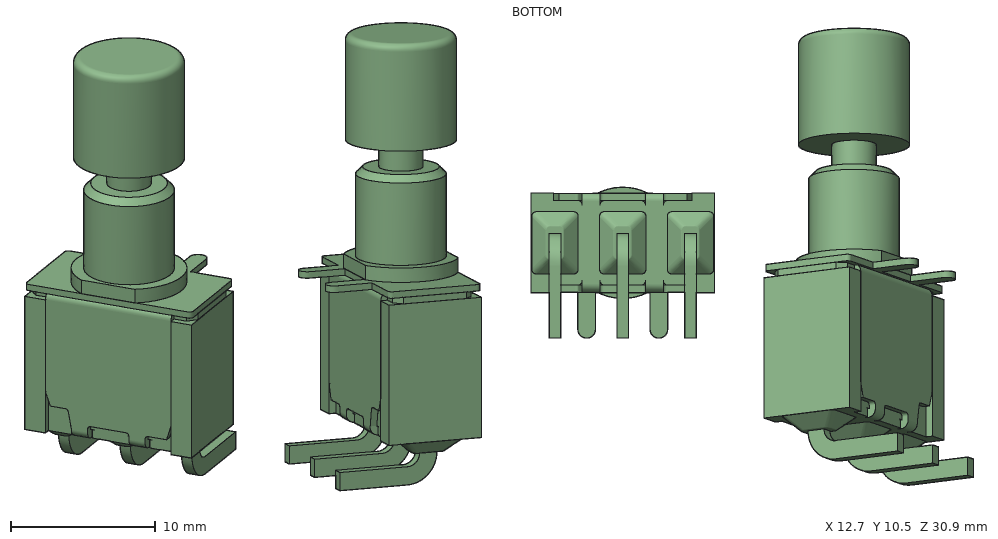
import cadquery as cq


total_height = 30.85
terminal_thickness = 1.3
terminal_inner_radius = 0.93
skirt_bottom = terminal_thickness + terminal_inner_radius
housing_bottom = 3.2
housing_top = 13.15
plate_bottom = 13.6
plate_top = 14.07
flange_top = 15.1
bushing_top = 21.42
cap_bottom = 23.33

housing_length = 12.7
housing_depth = 6.9
panel_length = 9.57
core_depth = 5.85
riser_inset = 0.03
riser_corner = 0.6

panel_face = 3.43
panel_bend_inset = 0.25
plate_corner_radius = 0.3
tongue_inner_x = 1.57
tongue_outer_x = 2.8
tongue_top = 3.83
notch_corner_radius = 0.3
tongue_bend_radius = 0.55
window_top = 4.25
window_radius = 0.25
deep_window_top = 5.28
deep_window_corner_x = -3.1
deep_window_edge_x = -4.4
deep_window_end = 6.25
window_edge_x = 4.45
window_end = 5.35
tab_x = 2.5
tab_width = 1.23
tab_tip = 6.6

terminal_pitch = 4.7
terminal_width = 0.8
terminal_tip = 6.6
skirt_length = 3.2
skirt_depth = 4.32
skirt_corner_radius = 0.5
skirt_bottom_radius = 0.12

flange_diameter = 8.02
flange_width = 6.9
bushing_diameter = 6.3
bushing_chamfer = 0.5
stem_diameter = 3.1
cap_diameter = 7.7
cap_edge_radius = 0.5


def block(length, depth, bottom, top):
    """Box centred on the Z axis between two heights."""
    return cq.Workplane("XY").workplane(offset=bottom).rect(length, depth).extrude(top - bottom)


def cylinder(diameter, bottom, top):
    """Cylinder on the Z axis between two heights."""
    return cq.Workplane("XY").workplane(offset=bottom).circle(diameter / 2).extrude(top - bottom)


def make_tongue_notch():
    """Notch under the core for the toe of the +X tongue, with rounded mouth corners."""
    face = -core_depth / 2
    back = face + notch_corner_radius
    return (
        cq.Workplane("XY")
        .workplane(offset=housing_bottom)
        .moveTo(tongue_inner_x - notch_corner_radius, face)
        .lineTo(tongue_outer_x + notch_corner_radius, face)
        .radiusArc((tongue_outer_x, back), notch_corner_radius)
        .lineTo(tongue_inner_x, back)
        .radiusArc((tongue_inner_x - notch_corner_radius, face), notch_corner_radius)
        .close()
        .extrude(tongue_top - housing_bottom)
    )


def make_housing():
    """Core with notches, two full-depth end blocks and a riser under the plate."""
    housing = block(housing_length, core_depth, housing_bottom, housing_top)
    notch = make_tongue_notch()
    for cutter in (notch, notch.mirror("YZ")):
        housing = housing.cut(cutter).cut(cutter.mirror("XZ"))

    end_length = (housing_length - panel_length) / 2
    end_block = block(end_length, housing_depth, housing_bottom, housing_top)
    for side in (-1, 1):
        end_x = side * (housing_length - end_length) / 2
        housing = housing.union(end_block.translate((end_x, 0, 0)))

    riser_length = housing_length - 2 * riser_inset
    riser = block(riser_length, core_depth, housing_top, plate_bottom)
    return housing.union(riser.edges("|Z").chamfer(riser_corner))


def make_panel_sheet():
    """Front panel cross-section, bent inward at the top, along its full length."""
    return (
        cq.Workplane("YZ")
        .workplane(offset=-panel_length / 2)
        .moveTo(-core_depth / 2, housing_bottom)
        .lineTo(-panel_face, housing_bottom)
        .lineTo(-panel_face, housing_top)
        .tangentArcPoint((panel_bend_inset - panel_face, plate_bottom), relative=False)
        .lineTo(-core_depth / 2, plate_bottom)
        .close()
        .extrude(panel_length)
    )


def window_cutter(points, round_corners):
    """Cutter for a panel window, running through in Y, with some corners rounded."""
    cutter = cq.Workplane("XZ").polyline(points).close().extrude(panel_face)
    for x, z in round_corners:
        corner = cq.NearestToPointSelector((x, -panel_face / 2, z))
        cutter = cutter.edges("|Y").edges(corner).fillet(window_radius)
    return cutter


def make_panel():
    """Front panel with three windows along its lower edge and two crimped tongues."""
    end_x = panel_length / 2
    deep_window = window_cutter(
        [
            (-end_x, housing_bottom),
            (-end_x, deep_window_end),
            (deep_window_edge_x, deep_window_top),
            (deep_window_corner_x, deep_window_top),
            (-tongue_outer_x, tongue_top),
            (-tongue_outer_x, housing_bottom),
        ],
        round_corners=[(deep_window_corner_x, deep_window_top)],
    )
    middle_window = window_cutter(
        [
            (-tongue_inner_x, housing_bottom),
            (-tongue_inner_x, window_top),
            (tongue_inner_x, window_top),
            (tongue_inner_x, housing_bottom),
        ],
        round_corners=[(-tongue_inner_x, window_top), (tongue_inner_x, window_top)],
    )
    end_window = window_cutter(
        [
            (tongue_outer_x, housing_bottom),
            (tongue_outer_x, window_top),
            (window_edge_x, window_top),
            (end_x, window_end),
            (end_x, housing_bottom),
        ],
        round_corners=[(tongue_outer_x, window_top)],
    )
    panel = make_panel_sheet().cut(deep_window).cut(middle_window).cut(end_window)

    toe_back = notch_corner_radius - core_depth / 2
    tongue = (
        cq.Workplane("XY")
        .box(
            tongue_outer_x - tongue_inner_x,
            panel_face + toe_back,
            tongue_top - housing_bottom,
            centered=(True, False, False),
        )
        .edges("|X and <Y and <Z")
        .fillet(tongue_bend_radius)
    )
    tongue_room = cq.Workplane("XY").box(
        tongue_outer_x - tongue_inner_x,
        panel_face - core_depth / 2,
        tongue_top - housing_bottom,
        centered=(True, False, False),
    )
    for side in (-1, 1):
        place = (side * (tongue_inner_x + tongue_outer_x) / 2, -panel_face, housing_bottom)
        panel = panel.cut(tongue_room.translate(place)).union(tongue.translate(place))
    return panel


def make_plate():
    """Top plate with rounded corners and two round-ended tabs reaching to +Y."""
    plate = block(housing_length, 2 * panel_face, plate_bottom, plate_top)
    plate = plate.edges("|Z").fillet(plate_corner_radius)
    tip_centre = tab_tip - tab_width / 2
    tab = (
        cq.Workplane("XY")
        .workplane(offset=plate_bottom)
        .moveTo(-tab_width / 2, 0)
        .lineTo(-tab_width / 2, tip_centre)
        .threePointArc((0, tab_tip), (tab_width / 2, tip_centre))
        .lineTo(tab_width / 2, 0)
        .close()
        .extrude(plate_top - plate_bottom)
    )
    for side in (-1, 1):
        plate = plate.union(tab.translate((side * tab_x, 0, 0)))
    return plate


def make_bushing():
    """Flange with two flats, chamfered bushing and the stem that carries the cap."""
    flange = cylinder(flange_diameter, plate_top, flange_top)
    flange = flange.intersect(block(flange_diameter, flange_width, plate_top, flange_top))
    bushing = cylinder(bushing_diameter, flange_top, bushing_top)
    bushing = bushing.faces(">Z").edges().chamfer(bushing_chamfer)
    stem = cylinder(stem_diameter, bushing_top, cap_bottom)
    return flange.union(bushing).union(stem)


def make_skirt():
    """Rounded skirt below the housing, tapering at 45 degrees toward one terminal."""
    height = housing_bottom - skirt_bottom
    return (
        cq.Workplane("XY")
        .workplane(offset=housing_bottom)
        .rect(skirt_length, skirt_depth)
        .workplane(offset=-height)
        .rect(skirt_length - 2 * height, skirt_depth - 2 * height)
        .loft(combine=True)
        .edges("not #Z")
        .fillet(skirt_corner_radius)
        .faces("<Z")
        .edges()
        .fillet(skirt_bottom_radius)
    )


def make_terminal():
    """Flat terminal that leaves the skirt downward and bends to +Y."""
    half_leg = terminal_thickness / 2
    bend_y = half_leg + terminal_inner_radius
    return (
        cq.Workplane("YZ")
        .workplane(offset=-terminal_width / 2)
        .moveTo(-half_leg, skirt_bottom)
        .radiusArc((bend_y, 0), -(terminal_inner_radius + terminal_thickness))
        .lineTo(terminal_tip, 0)
        .lineTo(terminal_tip, terminal_thickness)
        .lineTo(bend_y, terminal_thickness)
        .radiusArc((half_leg, skirt_bottom), terminal_inner_radius)
        .close()
        .extrude(terminal_width)
    )


def make_switch():
    """Complete switch without its cap."""
    panel = make_panel()
    switch = make_housing().union(panel).union(panel.mirror("XZ"))
    switch = switch.union(make_plate()).union(make_bushing())
    lead = make_skirt().union(make_terminal())
    for position in (-1, 0, 1):
        switch = switch.union(lead.translate((position * terminal_pitch, 0, 0)))
    return switch


def make_cap():
    """Push-button cap that rests on the end of the stem."""
    cap = cylinder(cap_diameter, cap_bottom, total_height)
    return cap.faces(">Z").edges().fillet(cap_edge_radius)


switch = make_switch()
cap = make_cap()

result = cq.Compound.makeCompound([switch.solids().val(), cap.solids().val()])